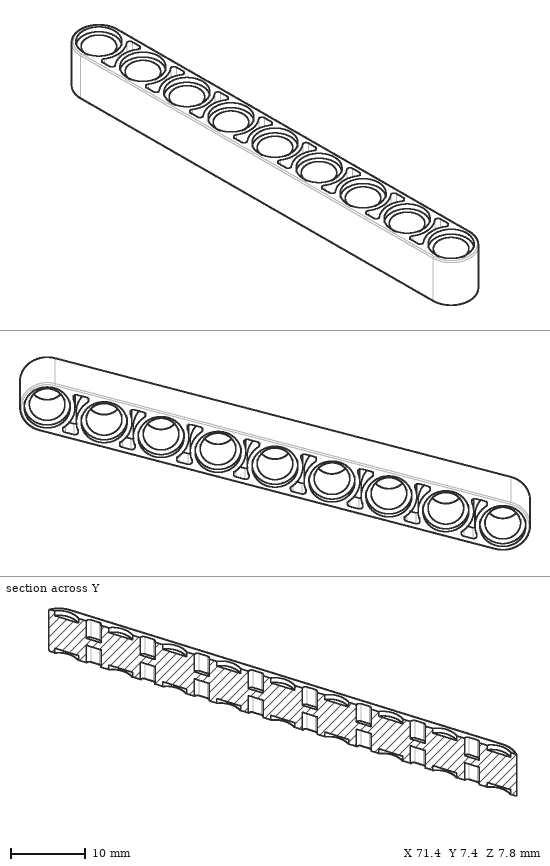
import cadquery as cq
import math

hole_count = 9
pitch = 8.0
width = 7.4
height = 7.8
edge_fillet = 0.2

hole_diameter = 4.8
counterbore_diameter = 6.2
counterbore_depth = 0.85

pocket_length = 5.9
pocket_corner_radius = 0.45
rim_thickness = 0.65
web_thickness = 1.4

hole_span = (hole_count - 1) * pitch
pocket_side_radius = counterbore_diameter / 2 + rim_thickness
pocket_depth = (height - web_thickness) / 2

hole_centers = [(i * pitch - hole_span / 2, 0) for i in range(hole_count)]
pocket_centers = [(x + pitch / 2, 0) for x, _ in hole_centers[:-1]]


def make_body():
    """Full-round bar, rounded over around its top and bottom rims."""
    bar = cq.Workplane("XY").slot2D(hole_span + width, width).extrude(height)
    return bar.faces("<Z or >Z").fillet(edge_fillet)


def cylinders(diameter, z_start, depth):
    """One upright cylinder on every hole axis."""
    base = cq.Workplane("XY").workplane(offset=z_start)
    return base.pushPoints(hole_centers).circle(diameter / 2).extrude(depth)


def make_pocket():
    """Hourglass prism whose waisted sides are concentric with the adjacent holes."""
    half_length = pocket_length / 2
    corner_x = pitch / 2 - math.sqrt(pocket_side_radius**2 - half_length**2)
    waist_x = pitch / 2 - pocket_side_radius
    return (
        cq.Workplane("XY")
        .moveTo(-corner_x, half_length)
        .lineTo(corner_x, half_length)
        .threePointArc((waist_x, 0), (corner_x, -half_length))
        .lineTo(-corner_x, -half_length)
        .threePointArc((-waist_x, 0), (-corner_x, half_length))
        .close()
        .extrude(pocket_depth)
        .edges("|Z")
        .fillet(pocket_corner_radius)
    )


def pockets(z_start):
    """One pocket prism between each pair of neighbouring holes."""
    pocket = make_pocket().val()
    base = cq.Workplane("XY").workplane(offset=z_start)
    return base.pushPoints(pocket_centers).eachpoint(lambda place: pocket.moved(place))


result = make_body().cut(cylinders(hole_diameter, 0, height))

for z_start in (0, height - counterbore_depth):
    result = result.cut(cylinders(counterbore_diameter, z_start, counterbore_depth))

for z_start in (0, height - pocket_depth):
    result = result.cut(pockets(z_start))

result = result.translate((0, 0, -height / 2))